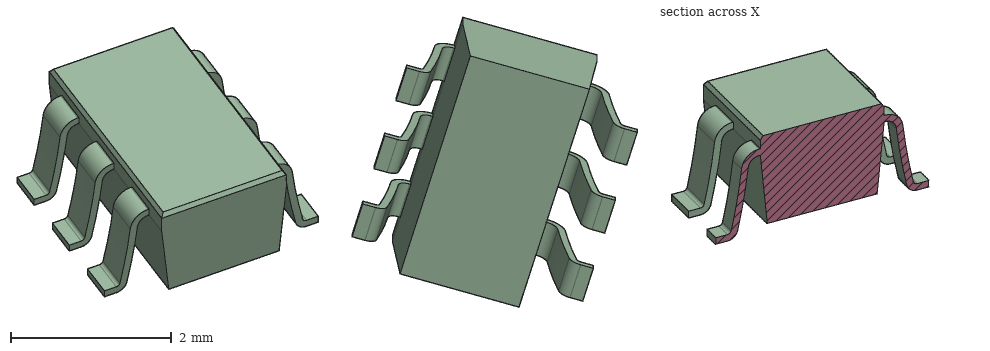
import cadquery as cq
import math

body_length = 3.05
body_width = 1.748
base_width = 1.55
body_bottom = 0.1
body_top = 1.4
taper_top = 1.122
bevel_height = 0.058
bevel_run = 0.04

lead_count = 3
lead_pitch = 0.952
lead_width = 0.46
lead_thickness = 0.1
lead_top = 1.22
lead_span = 3.0
stub_length = 0.015
shoulder_radius = 0.25
shank_top_tilt = 6.5
shank_bottom_tilt = 12.8
ankle_inner_radius = 0.052
embed_depth = 0.09


def make_body():
    """Block with its long sides tapering to the base, topped by a bevelled slab."""
    half_width = body_width / 2
    half_base = base_width / 2
    rim_height = body_top - bevel_height
    section = [
        (-half_base, body_bottom),
        (half_base, body_bottom),
        (half_width, taper_top),
        (half_width, rim_height),
        (-half_width, rim_height),
        (-half_width, taper_top),
    ]
    block = cq.Workplane("YZ").polyline(section).close().extrude(body_length / 2, both=True)
    bevel_angle = math.degrees(math.atan2(bevel_run, bevel_height))
    slab = (
        cq.Workplane("XY", origin=(0, 0, rim_height))
        .rect(body_length, body_width)
        .extrude(bevel_height, taper=bevel_angle)
    )
    return block.union(slab)


def polar(center, radius, degrees):
    """Point on a circle, at an angle measured from +Y towards +Z."""
    angle = math.radians(degrees)
    return (center[0] + radius * math.cos(angle), center[1] + radius * math.sin(angle))


def make_lead(x_center):
    """Strip on the +Y side: shoulder bend, gently curved shank, ankle bend and foot."""
    shoulder_inner = shoulder_radius - lead_thickness
    ankle_outer = ankle_inner_radius + lead_thickness
    shoulder = (body_width / 2 + stub_length, lead_top - shoulder_radius)

    sin_top = math.sin(math.radians(shank_top_tilt))
    sin_bottom = math.sin(math.radians(shank_bottom_tilt))
    shank_radius = (
        shoulder[1] - ankle_outer + shoulder_radius * sin_top + ankle_inner_radius * sin_bottom
    ) / (sin_bottom - sin_top)
    shank_top_angle = 180 + shank_top_tilt
    shank_bottom_angle = 180 + shank_bottom_tilt
    shank_mid_angle = (shank_top_angle + shank_bottom_angle) / 2
    shank = polar(shoulder, shoulder_radius + shank_radius, shank_top_tilt)
    ankle = polar(shank, shank_radius - ankle_inner_radius, shank_bottom_angle)
    shank_inner = shank_radius + lead_thickness

    shoulder_mid_angle = (90 + shank_top_tilt) / 2
    ankle_mid_angle = (shank_bottom_angle + 270) / 2
    stub_end = body_width / 2 - embed_depth
    foot_end = lead_span / 2

    profile = (
        cq.Workplane("YZ", origin=(x_center, 0, 0))
        .moveTo(stub_end, lead_top)
        .lineTo(shoulder[0], lead_top)
        .threePointArc(
            polar(shoulder, shoulder_radius, shoulder_mid_angle),
            polar(shoulder, shoulder_radius, shank_top_tilt),
        )
        .threePointArc(
            polar(shank, shank_radius, shank_mid_angle),
            polar(shank, shank_radius, shank_bottom_angle),
        )
        .threePointArc(
            polar(ankle, ankle_inner_radius, ankle_mid_angle),
            polar(ankle, ankle_inner_radius, 270),
        )
        .lineTo(foot_end, lead_thickness)
        .lineTo(foot_end, 0)
        .lineTo(ankle[0], 0)
        .threePointArc(
            polar(ankle, ankle_outer, ankle_mid_angle),
            polar(ankle, ankle_outer, shank_bottom_angle),
        )
        .threePointArc(
            polar(shank, shank_inner, shank_mid_angle),
            polar(shank, shank_inner, shank_top_angle),
        )
        .threePointArc(
            polar(shoulder, shoulder_inner, shoulder_mid_angle),
            polar(shoulder, shoulder_inner, 90),
        )
        .lineTo(stub_end, lead_top - lead_thickness)
        .close()
    )
    return profile.extrude(lead_width / 2, both=True)


result = make_body()
for index in range(lead_count):
    x_center = (index - (lead_count - 1) / 2) * lead_pitch
    lead = make_lead(x_center)
    result = result.union(lead).union(lead.mirror("XZ"))